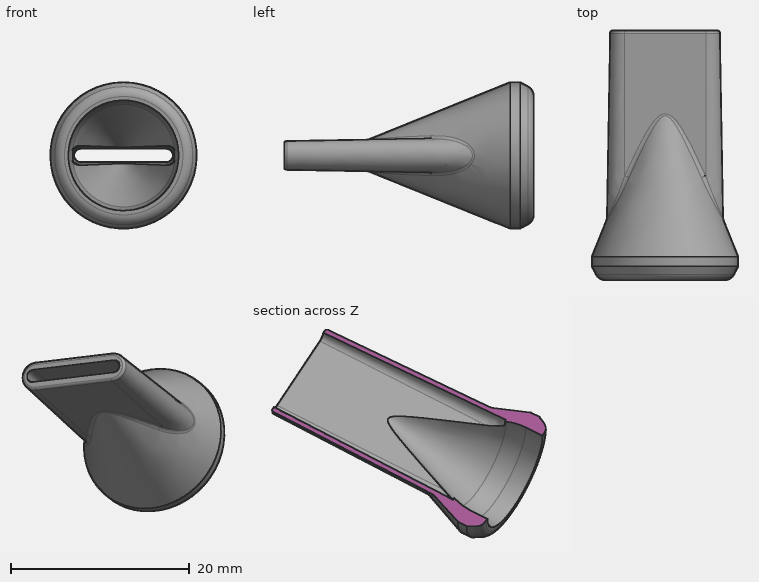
import cadquery as cq
import math

length = 27.92
draft = 1.0

rim_radius = 8.19
mouth_flat_radius = 6.62
rim_round = 1.25
rim_lean = 28.0
cone_start = 2.65
cone_angle = 22.0
cone_end_radius = 0.5

bore_radius = 6.17
bore_depth = 2.2
bore_blend = 6.0

tube_height = 3.24
tube_flat = 9.06
tube_root = 4.0
tip_round = 0.3
junction_round = 0.6

slot_height = 1.45
slot_flat = 9.58
slot_root = 4.6


def tapered_obround(flat, height, root):
    """Obround bar from the tip back to Y = root, growing by the draft angle."""
    return (
        cq.Workplane("XZ", origin=(0, length, 0))
        .slot2D(flat + height, height)
        .extrude(length - root, taper=-draft)
    )


def revolve_about_y(profile):
    return profile.close().revolve(360, (0, 0, 0), (0, 1, 0))


def arc_point(center_radius, center_y, radius, angle):
    """Point on a profile arc; the angle is measured from the radial direction toward +Y."""
    a = math.radians(angle)
    return (center_radius + radius * math.cos(a), center_y + radius * math.sin(a))


def funnel_body():
    """Rounded and bevelled rim, short cylinder, then a cone narrowing toward the tip."""
    bevel_start = arc_point(mouth_flat_radius, rim_round, rim_round, -rim_lean)
    round_middle = arc_point(mouth_flat_radius, rim_round, rim_round, -(90 + rim_lean) / 2)
    bevel_end_y = bevel_start[1] + (rim_radius - bevel_start[0]) / math.tan(math.radians(rim_lean))
    cone_end_y = cone_start + (rim_radius - cone_end_radius) / math.tan(math.radians(cone_angle))
    profile = (
        cq.Workplane("XY")
        .moveTo(0, 0)
        .lineTo(mouth_flat_radius, 0)
        .threePointArc(round_middle, bevel_start)
        .lineTo(rim_radius, bevel_end_y)
        .lineTo(rim_radius, cone_start)
        .lineTo(cone_end_radius, cone_end_y)
        .lineTo(0, cone_end_y)
    )
    return revolve_about_y(profile)


def funnel_cavity():
    """Straight bore that blends through an arc into a cone running to a point."""
    blend_center_radius = bore_radius - bore_blend
    blend_middle = arc_point(blend_center_radius, bore_depth, bore_blend, cone_angle / 2)
    blend_end = arc_point(blend_center_radius, bore_depth, bore_blend, cone_angle)
    apex_y = blend_end[1] + blend_end[0] / math.tan(math.radians(cone_angle))
    profile = (
        cq.Workplane("XY")
        .moveTo(0, 0)
        .lineTo(bore_radius, 0)
        .lineTo(bore_radius, bore_depth)
        .threePointArc(blend_middle, blend_end)
        .lineTo(0, apex_y)
    )
    return revolve_about_y(profile)


def junction_edges(body):
    """Edges where the tube meets the cone, the only hyperbolas and splines on the body."""
    edges = []
    for edge in body.edges().vals():
        if edge.geomType() in ("HYPERBOLA", "BSPLINE"):
            edges.append(edge)
    return body.newObject(edges)


def outer_half():
    """The +X half of the outside, with the tube-to-cone junction rounded."""
    tube = tapered_obround(tube_flat, tube_height, tube_root).faces(">Y").edges().fillet(tip_round)
    half_space = cq.Workplane("XY").box(
        rim_radius, length, 2 * rim_radius, centered=(False, False, True)
    )
    half = funnel_body().union(tube).intersect(half_space)
    return junction_edges(half).fillet(junction_round)


right_half = outer_half()
body = right_half.union(right_half.rotate((0, 0, 0), (0, 1, 0), 180))
slot = tapered_obround(slot_flat, slot_height, slot_root)
result = body.cut(funnel_cavity()).cut(slot)